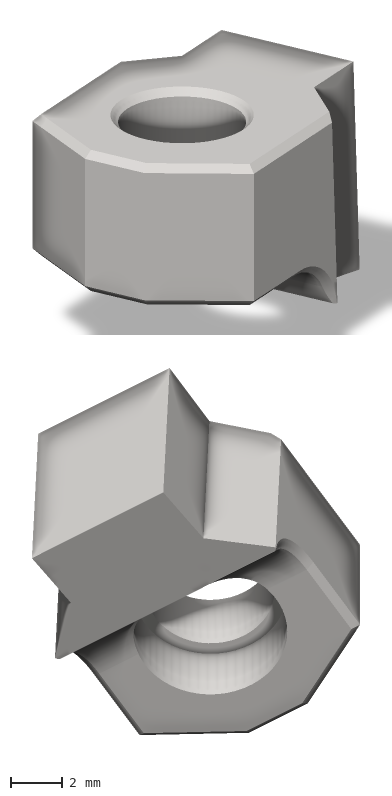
import cadquery as cq
import math

width = 10.08
height = 9.0
front_y = -5.08
back_y = front_y + 13.5
plate_thickness = 6.0
edge_chamfer = 0.3
front_flat_width = 2.7
front_angle = math.radians(30)
tab_width = 6.01
shoulder_y = 4.98
back_angle = math.radians(3)
bottom_angle = math.radians(10)
hole_radius = 2.5
counterbore_radius = 3.0
counterbore_ceiling = -3.24
arc_radius = 2.5
arc_y = 0.55
toe_angle = math.radians(30)

half_width = width / 2
half_flat = front_flat_width / 2
half_tab = tab_width / 2
arc_z = -plate_thickness - arc_radius
back_top_y = back_y - height * math.tan(back_angle)
margin = 1.35


def mirrored_outline(right_half, z):
    """Closed plan outline at height z from its points on the +X side."""
    left_half = [(-x, y) for x, y in reversed(right_half)]
    return cq.Workplane("XY").workplane(offset=z).polyline(right_half + left_half).close()


def make_plate():
    corner_y = front_y + (half_width - half_flat) * math.tan(front_angle)
    points = [(half_flat, front_y), (half_width, corner_y), (half_width, back_y + margin)]
    plate = mirrored_outline(points, -plate_thickness).extrude(plate_thickness)
    return plate.faces("|Z").edges().chamfer(edge_chamfer)


def make_leg():
    """Full-width leg with a round hollow that ends in a tangent straight face."""
    cos_toe = math.cos(toe_angle)
    sin_toe = math.sin(toe_angle)
    tangent_y = arc_y + arc_radius * cos_toe
    tangent_z = arc_z + arc_radius * sin_toe
    mid_angle = (math.pi / 2 + toe_angle) / 2
    arc_middle = (arc_y + arc_radius * math.cos(mid_angle), arc_z + arc_radius * math.sin(mid_angle))

    slope = math.tan(bottom_angle)
    underside_z = -height + (back_y - tangent_y) * slope
    toe_length = (tangent_z - underside_z) / (cos_toe - slope * sin_toe)
    toe = (tangent_y + toe_length * sin_toe, tangent_z - toe_length * cos_toe)

    leg_top = -plate_thickness / 2
    end_y = back_y + margin
    return (
        cq.Workplane("YZ").workplane(offset=-half_width)
        .moveTo(arc_y, leg_top)
        .lineTo(arc_y, -plate_thickness)
        .threePointArc(arc_middle, (tangent_y, tangent_z))
        .lineTo(*toe)
        .lineTo(end_y, -height - margin * slope)
        .lineTo(end_y, leg_top)
        .close()
        .extrude(width)
    )


def make_back_envelope():
    """Leaning prism that gives the tab, the shoulders and the back face."""
    bottom = -height - margin

    def section(z):
        shift = -z * math.tan(back_angle)
        points = [
            (half_width, front_y - margin),
            (half_width, shoulder_y - (half_width - half_tab) + shift),
            (half_tab, shoulder_y + shift),
            (half_tab, back_top_y + shift),
        ]
        return mirrored_outline(points, z).val()

    wires = [cq.Wire.assembleEdges(section(z).Edges()) for z in (0, bottom)]
    return cq.Workplane(cq.Solid.makeLoft(wires, True))


def make_hollow_chamfer(side):
    """Cone around the hollow's axis that bevels its edge on one side."""
    return cq.Workplane(cq.Solid.makeCone(
        arc_radius + edge_chamfer, arc_radius, edge_chamfer,
        cq.Vector(side * half_width, arc_y, arc_z), cq.Vector(-side, 0, 0),
    ))


def make_hole():
    """Through hole with a bevelled top rim and a counterbore from below."""
    hole = cq.Workplane("XY").circle(hole_radius).extrude(-height)
    rim = cq.Solid.makeCone(
        hole_radius + edge_chamfer, hole_radius, edge_chamfer,
        cq.Vector(0, 0, 0), cq.Vector(0, 0, -1),
    )
    counterbore = (
        cq.Workplane("XY").workplane(offset=counterbore_ceiling)
        .circle(counterbore_radius).extrude(-height)
    )
    return hole.union(cq.Workplane(rim)).union(counterbore)


body = make_plate().union(make_leg()).intersect(make_back_envelope())
for side in (-1, 1):
    body = body.cut(make_hollow_chamfer(side))
result = body.cut(make_hole())